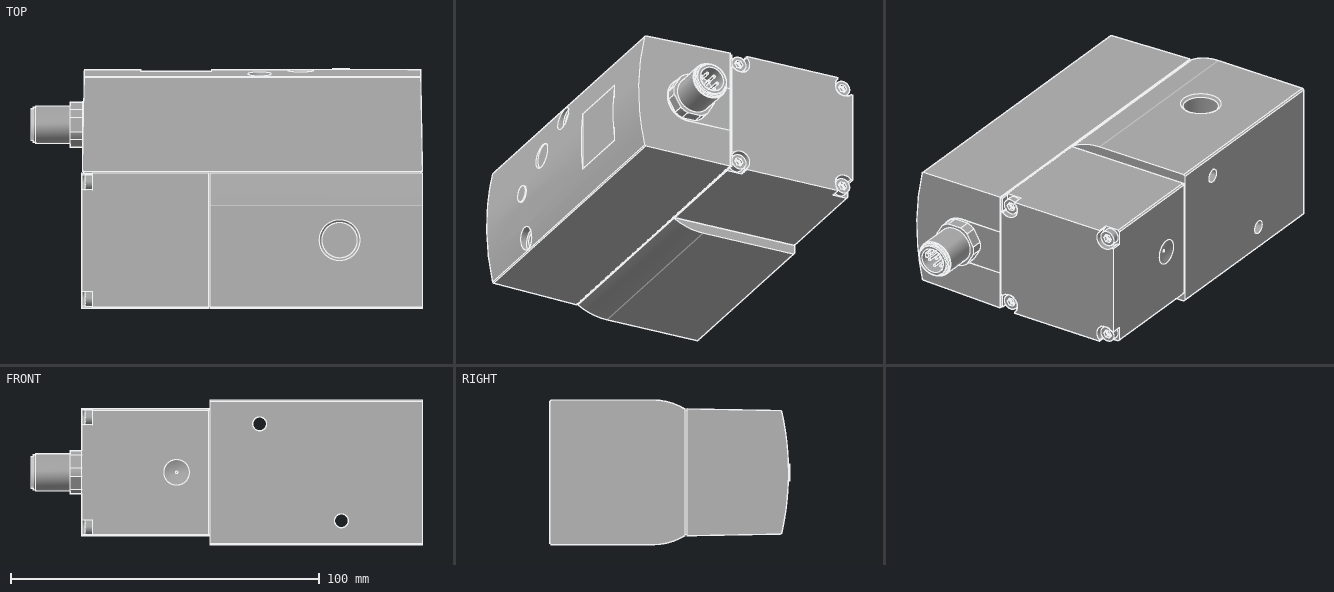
import math

import cadquery as cq

body_length = 110.5
total_length = 126.9
total_depth = 77.78
port_body_height = 47.0
edge_chamfer = 0.5
root_overlap = 1.0

base_depth = 43.9
joint_gap = 0.5
joint_recess = 0.4
cover_root = base_depth + joint_gap
cap_length = 41.6
cap_height = 41.2
shoulder_radius = 20.0
shoulder_drop = 3.0
shoulder_width = math.sqrt(2 * shoulder_radius * shoulder_drop - shoulder_drop ** 2)

cover_shoulder = 75.0
cover_crown = 77.4
cover_taper = 0.6
cover_root_inset = 0.3
cover_edge_chamfer = 0.3

connector_y = 59.5
seat_radius = 7.6
nut_flats = 14.0
nut_corner_diameter = 14.8
nut_length = 3.7
barrel_diameter = 12.2
collar_diameter = 11.45
tip_diameter = 10.4
collar_length = 0.75
tip_length = 0.75
socket_diameter = 8.3
socket_depth = 8.0
pin_count = 7
pin_diameter = 0.8
pin_circle_radius = 2.9
pin_length = 6.0
key_diameter = 1.6
key_overlap = 0.35
connector_reach = total_length - body_length

screw_inset_y = 3.1
screw_inset_z = 2.85
screw_head_diameter = 5.1
screw_head_length = 2.4
screw_pocket_diameter = 6.6
screw_pocket_depth = 3.6
corner_notch_reach = 2.3
screw_hex_flats = 2.5
screw_hex_depth = 1.2
screw_bore_diameter = 2.0
screw_bore_depth = 1.6

dish_x = 30.8
dish_diameter = 8.3
dish_depth = 1.0
vent_diameter = 0.8
vent_depth = 3.0

port_x = 83.6
port_y = 22.1
port_diameter = 11.45
port_mouth_diameter = 13.2
port_depth = 13.0

mounting_holes = [(57.7, 15.7), (84.2, -15.7)]
mounting_diameter = 4.4
mounting_bore_diameter = 7.5
mounting_bore_floor = 74.0

window_start = 19.2
window_end = 42.1
window_half_height = 10.0
window_depth = 0.6
dimple_x = 71.0
dimple_z = 8.0
dimple_diameter = 8.3
dimple_floor = 76.3
button_x = 84.1
button_diameter = 5.5


def rod_x(diameter, start, length, y=0.0, z=0.0):
    """Cylinder along +X from the plane X = start."""
    return cq.Workplane("YZ", origin=(start, y, z)).circle(diameter / 2).extrude(length)


def rod_y(diameter, start, length, x, z):
    """Cylinder along +Y from the plane Y = start."""
    return cq.Workplane("XZ", origin=(x, start, z)).circle(diameter / 2).extrude(-length)


def make_port_body():
    half = port_body_height / 2
    low = half - shoulder_drop
    flat_end = base_depth - shoulder_width
    half_angle = math.asin(shoulder_width / shoulder_radius) / 2
    mid_y = flat_end + shoulder_radius * math.sin(half_angle)
    mid_z = half - shoulder_radius * (1 - math.cos(half_angle))
    profile = (
        cq.Workplane("YZ", origin=(cap_length, 0, 0))
        .moveTo(0, edge_chamfer - half)
        .lineTo(edge_chamfer, -half)
        .lineTo(flat_end, -half)
        .threePointArc((mid_y, -mid_z), (base_depth, -low))
        .lineTo(base_depth, low)
        .threePointArc((mid_y, mid_z), (flat_end, half))
        .lineTo(edge_chamfer, half)
        .lineTo(0, half - edge_chamfer)
        .close()
    )
    body = profile.extrude(body_length - cap_length)
    port = cq.Workplane("XY", origin=(port_x, port_y, half)).circle(port_diameter / 2).extrude(-port_depth)
    mouth_depth = (port_mouth_diameter - port_diameter) / 2
    mouth = cq.Solid.makeCone(
        port_mouth_diameter / 2, port_diameter / 2, mouth_depth,
        pnt=cq.Vector(port_x, port_y, half), dir=cq.Vector(0, 0, -1),
    )
    return body.cut(port).cut(cq.Workplane(mouth))


def make_cap():
    cap = (
        cq.Workplane("XY")
        .box(cap_length - joint_gap, base_depth, cap_height, centered=(False, False, True))
        .edges("|X and <Y")
        .chamfer(edge_chamfer)
    )
    sphere_radius = ((dish_diameter / 2) ** 2 + dish_depth ** 2) / (2 * dish_depth)
    dish = cq.Workplane("XY").sphere(sphere_radius).translate((dish_x, dish_depth - sphere_radius, 0))
    return cap.cut(dish).cut(rod_y(vent_diameter, 0, vent_depth, dish_x, 0))


def make_joints():
    """Recessed strips that leave a narrow groove behind the cap and below the cover."""
    neck = cq.Workplane("XY").box(
        2 * joint_gap, base_depth - joint_recess, cap_height - 2 * joint_recess, centered=(False, False, True)
    )
    neck = neck.translate((cap_length - 1.5 * joint_gap, joint_recess, 0))
    gasket_start = cover_root_inset + joint_recess
    gasket = cq.Workplane("XY").box(
        body_length - joint_recess - gasket_start, 2 * joint_gap, cap_height - 2 * joint_recess,
        centered=(False, False, True),
    )
    return neck.union(gasket.translate((gasket_start, base_depth - joint_gap / 2, 0)))


def screw_places():
    """Screw centres with the outward Y and Z directions of their corners."""
    places = []
    for side_y in (-1, 1):
        for side_z in (-1, 1):
            y = base_depth / 2 + side_y * (base_depth / 2 - screw_inset_y)
            z = side_z * (cap_height / 2 - screw_inset_z)
            places.append((y, z, side_y, side_z))
    return places


def screw_pocket(y, z, side_y, side_z):
    """Round pocket joined to a square notch that takes away the cap corner."""
    width_y = corner_notch_reach + screw_inset_y
    width_z = corner_notch_reach + screw_inset_z
    notch = cq.Workplane("XY").box(screw_pocket_depth, width_y, width_z, centered=(False, True, True))
    middle_y = y + side_y * (screw_inset_y - corner_notch_reach) / 2
    middle_z = z + side_z * (screw_inset_z - corner_notch_reach) / 2
    pocket = rod_x(screw_pocket_diameter, 0, screw_pocket_depth, y, z)
    return pocket.union(notch.translate((0, middle_y, middle_z)))


def screw_head(y, z):
    face = screw_pocket_depth - screw_head_length
    head = rod_x(screw_head_diameter, face, screw_head_length, y, z)
    hex_corners = screw_hex_flats / math.cos(math.pi / 6)
    hexagon = cq.Workplane("YZ", origin=(face, y, z)).polygon(6, hex_corners).extrude(screw_hex_depth)
    return head.cut(hexagon).cut(rod_x(screw_bore_diameter, face, screw_bore_depth, y, z))


def make_cover():
    """Tapered housing with a crowned outer face."""
    rise = total_depth - cover_root
    inset = cover_root_inset
    length = body_length - inset
    block = (
        cq.Workplane("XZ", origin=(inset + length / 2, cover_root, 0))
        .rect(length, cap_height)
        .extrude(-rise, taper=math.degrees(math.atan(cover_taper / rise)))
    )
    half = cap_height / 2
    crown = (
        cq.Workplane("YZ")
        .moveTo(cover_root, -half)
        .lineTo(cover_shoulder, -half)
        .threePointArc((cover_crown, 0), (cover_shoulder, half))
        .lineTo(cover_root, half)
        .close()
        .extrude(body_length)
    )
    cover = block.intersect(crown).edges("|X").edges(">Y").chamfer(cover_edge_chamfer)
    window = cq.Workplane("XY").box(
        window_end - window_start, window_depth, 2 * window_half_height, centered=(False, False, True)
    )
    cover = cover.cut(window.translate((window_start, cover_crown - window_depth, 0)))
    cover = cover.cut(rod_y(dimple_diameter, dimple_floor, rise, dimple_x, dimple_z))
    button_root = cover_crown - root_overlap
    return cover.union(rod_y(button_diameter, button_root, total_depth - button_root, button_x, 0))


def make_seat():
    """Flat pad under the connector, running down to the base."""
    depth = cover_root_inset + cover_taper
    pad = rod_x(2 * seat_radius, cover_root_inset, depth, connector_y)
    leg = cq.Workplane("XY").box(
        depth, connector_y - cover_root, 2 * seat_radius, centered=(False, False, True)
    )
    return pad.union(leg.translate((cover_root_inset, cover_root, 0)))


def make_connector():
    root = cover_root_inset
    tip = -connector_reach
    nut = (
        cq.Workplane("YZ", origin=(-nut_length, connector_y, 0))
        .polygon(6, nut_flats / math.cos(math.pi / 6))
        .extrude(nut_length + root)
        .intersect(rod_x(nut_corner_diameter, -nut_length, nut_length + root, connector_y))
    )
    collar_start = tip + tip_length
    barrel_start = collar_start + collar_length
    connector = nut.union(rod_x(barrel_diameter, barrel_start, -barrel_start, connector_y))
    connector = connector.union(rod_x(collar_diameter, collar_start, -collar_start, connector_y))
    connector = connector.union(rod_x(tip_diameter, tip, -tip, connector_y))
    connector = connector.cut(rod_x(socket_diameter, tip, socket_depth, connector_y))

    floor = tip + socket_depth
    pin_places = [(0.0, 0.0)]
    for index in range(pin_count):
        angle = math.pi + 2 * math.pi * index / pin_count
        pin_places.append((pin_circle_radius * math.cos(angle), pin_circle_radius * math.sin(angle)))
    pin_start = floor - pin_length
    rooted_length = pin_length + root_overlap
    for y, z in pin_places:
        connector = connector.union(rod_x(pin_diameter, pin_start, rooted_length, connector_y + y, z))
    key_y = connector_y + socket_diameter / 2 - key_overlap
    return connector.union(rod_x(key_diameter, pin_start, rooted_length, key_y))


cap = make_cap()
for y, z, side_y, side_z in screw_places():
    cap = cap.cut(screw_pocket(y, z, side_y, side_z))
    cap = cap.union(screw_head(y, z))

result = make_port_body().union(cap)
for component in (make_joints(), make_cover(), make_seat(), make_connector()):
    result = result.union(component)
for x, z in mounting_holes:
    result = result.cut(rod_y(mounting_diameter, 0, total_depth, x, z))
    result = result.cut(rod_y(mounting_bore_diameter, mounting_bore_floor, total_depth, x, z))